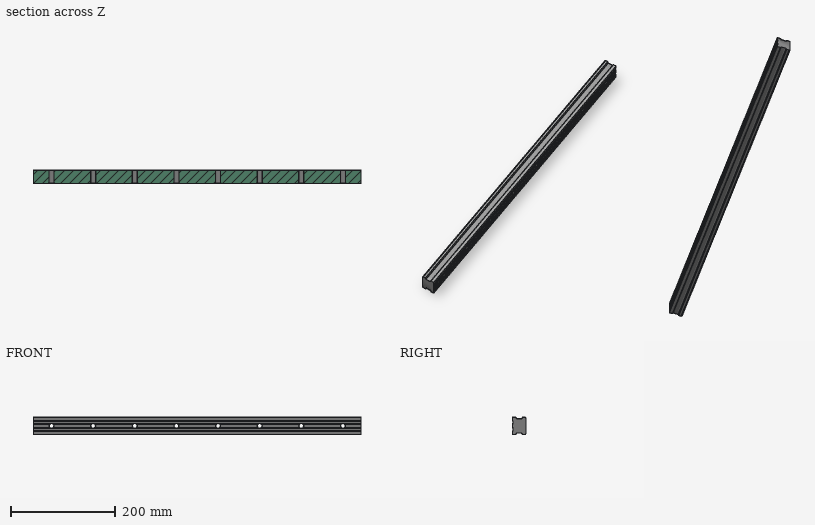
import cadquery as cq

length = 630.0
height = 26.0
width = 34.0

top_y = height / 2
base_y = -height / 2
half_width = width / 2
head_chamfer = 2.2

waist_centre_y = -0.25
floor_half_height = 3.0
shoulder_half_height = 5.0
mouth_half_height = 6.6
floor_depth = 3.2
shoulder_depth = 2.8

groove_inner_z = 3.0
groove_outer_z = 10.4
groove_wall_run = 1.8
groove_depth = 0.8

hole_count = 8
hole_pitch = 80.0
hole_diameter = 9.0


def waist_points():
    """Section points (y, z) of the waist on the +Z side, from the head down to the foot."""
    upper = [
        (waist_centre_y + mouth_half_height, half_width),
        (waist_centre_y + shoulder_half_height, half_width - shoulder_depth),
        (waist_centre_y + floor_half_height, half_width - floor_depth),
    ]
    lower = [(2 * waist_centre_y - y, z) for y, z in reversed(upper)]
    return upper + lower


def groove_points():
    """Section points (y, z) of the underside groove on the +Z side, from its outer edge inward."""
    floor_y = base_y + groove_depth
    return [
        (base_y, groove_outer_z),
        (floor_y, groove_outer_z - groove_wall_run),
        (floor_y, groove_inner_z + groove_wall_run),
        (base_y, groove_inner_z),
    ]


def rail_body():
    """Extrude the full section along X, centred on the origin and symmetric about Z = 0."""
    head = [(top_y, half_width - head_chamfer), (top_y - head_chamfer, half_width)]
    half_section = head + waist_points() + [(base_y, half_width)] + groove_points()
    mirrored_half = [(y, -z) for y, z in reversed(half_section)]
    section = cq.Workplane("YZ").polyline(half_section + mirrored_half).close()
    return section.extrude(length / 2, both=True)


def screw_holes():
    """Cutters for the whole hole row, running through the rail along Y."""
    holes = cq.Workplane("XZ").rarray(hole_pitch, 1, hole_count, 1).circle(hole_diameter / 2)
    return holes.extrude(height, both=True)


result = rail_body().cut(screw_holes())